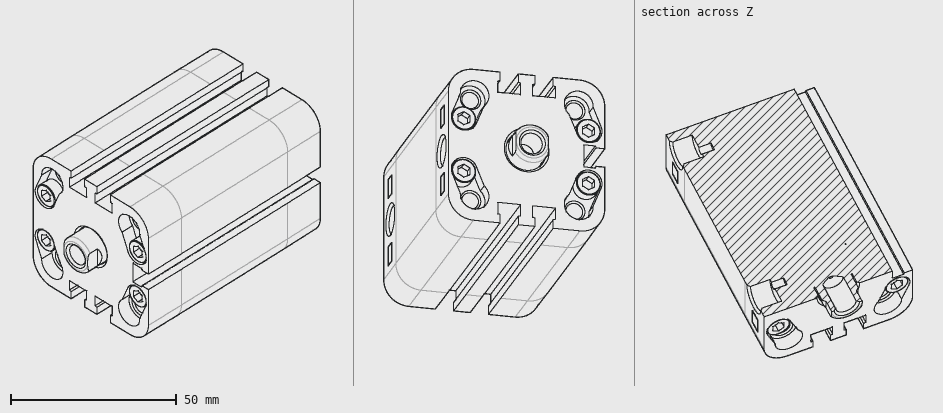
import cadquery as cq
import math


total_length = 80.2
rod_protrusion = 6.4
body_length = total_length - rod_protrusion
body_width = 49.0
half_width = body_width / 2
corner_radius = 7.85
cap_length = 14.1
cap_draft = 0.25

slot_depth = 6.65
slot_lip_depth = 2.8
slot_shoulder_height = 0.25
paired_slot_mouth_width = 5.7
side_slot_mouth_width = 5.9
slot_floor_width = 7.1
paired_slot_offset = 5.45

hole_offset = 16.3
hole_diameter = 5.2
hole_mouth_diameter = 6.3
pocket_diameter = 9.0
pocket_depth = 4.5
screw_x = 19.5
screw_z = 8.5
screw_pocket_diameter = 8.1
screw_head_diameter = 7.5
screw_head_recess = 0.5
screw_head_chamfer = 0.25
socket_corner_diameter = 4.25
socket_depth = 2.8

rod_diameter = 12.0
rod_tip_fillet = 1.05
flat_width = 10.1
flat_start = 2.25
clearance_diameter = 12.5
clearance_mouth_diameter = 14.0
clearance_depth = 4.0
thread_diameter = 6.65
thread_mouth_diameter = 8.2
thread_depth = 12.0
thread_tip_diameter = 1.4
drill_point_angle = 118.0

port_diameter = 8.6
port_mouth_diameter = 10.3
port_mouth_angle = 45.0
port_depth = 7.2
port_end_distance = 7.7
air_hole_diameter = 2.5
air_hole_end_distance = 9.6
air_hole_length = 4.0
label_width = 4.0
label_height = 6.0
label_depth = 0.2
label_end_distance = 6.9
label_z = 10.9

CORNERS = [(1, 1), (-1, 1), (-1, -1), (1, -1)]


def section_at(y):
    """Sketch plane across the rod axis: local x is X, local y is Z, the normal is -Y."""
    return cq.Workplane("XZ", origin=(0, y, 0))


def revolve_along_y(profile):
    """Turn a closed (radius, y) profile about the Y axis."""
    return cq.Workplane("XY").polyline(profile).close().revolve(360, (0, 0, 0), (0, 1, 0))


def make_housing():
    """Rounded square barrel between two caps that narrow slightly towards their outer faces."""
    outline = cq.Sketch().rect(body_width, body_width).vertices().fillet(corner_radius)
    barrel_length = body_length - 2 * cap_length
    front_cap = section_at(cap_length).placeSketch(outline).extrude(cap_length, taper=cap_draft)
    barrel = section_at(cap_length).placeSketch(outline).extrude(-barrel_length)
    rear_cap = front_cap.mirror("XZ", (0, body_length / 2, 0))
    return barrel.union(front_cap, clean=False).union(rear_cap, clean=False)


def make_slot(offset, mouth_width, turn):
    """T-slot cutter opening at +Z, shifted along X, then turned about the Y axis."""
    mouth = mouth_width / 2
    floor = slot_floor_width / 2
    top_z = half_width
    lip_z = half_width - slot_lip_depth
    shoulder_z = lip_z - slot_shoulder_height
    floor_z = half_width - slot_depth
    right_side = [(mouth, top_z), (mouth, lip_z), (floor, shoulder_z), (floor, floor_z)]
    left_side = [(-x, z) for x, z in reversed(right_side)]
    outline = [(offset + x, z) for x, z in right_side + left_side]
    slot = section_at(0).polyline(outline).close().extrude(-body_length)
    return slot.rotate((0, 0, 0), (0, 1, 0), turn)


def make_mounting_cutter():
    """Through hole, countersunk in a pocket that widens sideways to take the screw head."""
    hole_at = (hole_offset, hole_offset)
    run_x = hole_offset - screw_x
    run_z = hole_offset - screw_z
    spacing = math.hypot(run_x, run_z)
    slant = math.degrees(math.atan2(run_z, run_x))
    middle = ((hole_offset + screw_x) / 2, (hole_offset + screw_z) / 2)

    hole = section_at(0).center(*hole_at).circle(hole_diameter / 2).extrude(-body_length)
    pocket = section_at(0).center(*hole_at).circle(pocket_diameter / 2).extrude(-pocket_depth)
    screw_pocket = (
        section_at(0)
        .center(*middle)
        .slot2D(spacing + screw_pocket_diameter, screw_pocket_diameter, slant)
        .extrude(-pocket_depth)
    )
    countersink_depth = (hole_mouth_diameter - hole_diameter) / 2
    countersink = revolve_along_y([
        (0, pocket_depth),
        (hole_mouth_diameter / 2, pocket_depth),
        (hole_diameter / 2, pocket_depth + countersink_depth),
        (0, pocket_depth + countersink_depth),
    ]).translate((hole_offset, 0, hole_offset))
    return hole.union(pocket).union(screw_pocket).union(countersink)


def make_screw():
    """Socket head standing on the pocket floor."""
    head_height = pocket_depth - screw_head_recess
    head = (
        section_at(pocket_depth)
        .center(screw_x, screw_z)
        .circle(screw_head_diameter / 2)
        .extrude(head_height)
        .faces("<Y")
        .chamfer(screw_head_chamfer)
    )
    socket = (
        section_at(screw_head_recess)
        .transformed(rotate=(0, 0, 90), offset=(screw_x, screw_z, 0))
        .polygon(6, socket_corner_diameter)
        .extrude(-socket_depth)
    )
    return head.cut(socket)


def mirror_to(shape, side_x, side_z):
    """Copy a shape from the +X +Z corner to the corner with the given signs."""
    if side_x < 0:
        shape = shape.mirror("YZ")
    if side_z < 0:
        shape = shape.mirror("XY")
    return shape


def make_rod_clearance():
    """Bore around the rod in the front face, with a chamfered mouth."""
    mouth_depth = (clearance_mouth_diameter - clearance_diameter) / 2
    return revolve_along_y([
        (0, 0),
        (clearance_mouth_diameter / 2, 0),
        (clearance_diameter / 2, mouth_depth),
        (clearance_diameter / 2, clearance_depth),
        (0, clearance_depth),
    ])


def make_rod():
    """Rod end with a rounded tip and two wrench flats."""
    rod_length = rod_protrusion + clearance_depth
    rod = section_at(clearance_depth).circle(rod_diameter / 2).extrude(rod_length)
    rod = rod.faces("<Y").edges().fillet(rod_tip_fillet)

    flat_x = flat_width / 2
    run_out = rod_diameter / 2 - flat_x
    flat = (
        cq.Workplane("XY")
        .moveTo(flat_x, -rod_protrusion)
        .lineTo(flat_x, -flat_start)
        .lineTo(flat_x + run_out, -flat_start + run_out)
        .lineTo(flat_x + run_out, -rod_protrusion)
        .close()
        .extrude(rod_diameter / 2, both=True)
    )
    return rod.cut(flat).cut(flat.mirror("YZ"))


def make_thread_hole():
    """Hole in the rod tip: 45 degree mouth, straight bore and a blunted drill point."""
    bore = thread_diameter / 2
    mouth = thread_mouth_diameter / 2
    tip = thread_tip_diameter / 2
    tip_y = -rod_protrusion + thread_depth
    cone_y = tip_y - (bore - tip) / math.tan(math.radians(drill_point_angle / 2))
    return revolve_along_y([
        (0, -rod_protrusion),
        (mouth, -rod_protrusion),
        (bore, -rod_protrusion + mouth - bore),
        (bore, cone_y),
        (tip, tip_y),
        (0, tip_y),
    ])


def make_port_cutter():
    """Front cap port with its air hole and the two label recesses beside it."""
    side = cq.Workplane(cq.Plane((-half_width, 0, 0), (0, -1, 0), (-1, 0, 0)))
    port = side.center(-port_end_distance, 0).circle(port_diameter / 2).extrude(-port_depth)
    mouth_run = (port_mouth_diameter - port_diameter) / 2
    mouth_depth = mouth_run / math.tan(math.radians(port_mouth_angle))
    mouth = (
        side.center(-port_end_distance, 0)
        .circle(port_mouth_diameter / 2)
        .extrude(-mouth_depth, taper=port_mouth_angle)
    )
    air_hole = (
        side.center(-air_hole_end_distance, 0)
        .circle(air_hole_diameter / 2)
        .extrude(-(port_depth + air_hole_length))
    )
    labels = (
        side.pushPoints([(-label_end_distance, label_z), (-label_end_distance, -label_z)])
        .rect(label_width, label_height)
        .extrude(-label_depth)
    )
    return port.union(mouth).union(air_hole).union(labels)


part = make_housing()

for slot_turn in (0, 180):
    for slot_offset in (-paired_slot_offset, paired_slot_offset):
        part = part.cut(make_slot(slot_offset, paired_slot_mouth_width, slot_turn), clean=False)
part = part.cut(make_slot(0, side_slot_mouth_width, 90), clean=False)

for corner in CORNERS:
    part = part.cut(mirror_to(make_mounting_cutter(), *corner), clean=False)
    part = part.union(mirror_to(make_screw(), *corner), clean=False)

front_port = make_port_cutter()
rear_port = front_port.mirror("XZ", (0, body_length / 2, 0))
part = part.cut(front_port, clean=False).cut(rear_port, clean=False)

part = part.cut(make_rod_clearance(), clean=False)
part = part.union(make_rod(), clean=False)
result = part.cut(make_thread_hole(), clean=False)